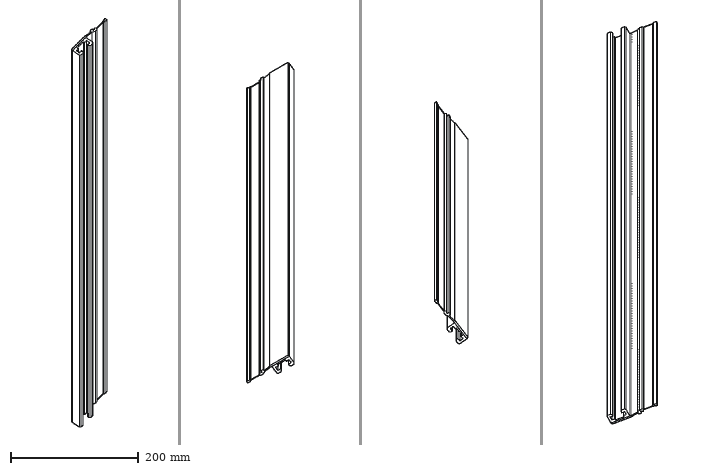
import cadquery as cq

length = 1000.0
overall_width = 19.0
overall_height = 81.0

rail_height = 33.0
backing_thickness = 3.0
rail_wall = 2.5
flange_thickness = 4.0
bead_end = 8.0
lip_start = 14.0
lip_depth = 9.0
corner_cut = 2.0

plate_corner_cut = 2.0
plate_corner_rise = 1.0
plate_top = 34.0
shoulder_x = 0.4
shoulder_y = 36.0
shoulder_depth = 0.5
lean_top_left = 2.5
lean_top_right = 4.5
lean_top = 47.0
knuckle_bottom = 49.0
knuckle_step = 52.0
barb_foot = 0.5
barb_root = 3.5
barb_tip = 2.0
barb_tip_y = 56.0
knuckle_top = 58.0
thin_web_left = 4.5
thin_web_right = 5.5
head_left = 3.0
head_right = 7.0
head_bottom = 74.0
head_taper_top = 79.0
head_taper_bottom = 76.0
neck_left = 4.0


def extrude_outline(points):
    """One solid from a closed XY outline, extruded over the full length."""
    return cq.Workplane("XY").polyline(points).close().extrude(length)


def make_rail():
    inner_wall = backing_thickness + rail_wall
    lower_half = [
        (backing_thickness, 0),
        (overall_width - corner_cut, 0),
        (overall_width, corner_cut),
        (overall_width, lip_depth - corner_cut),
        (overall_width - corner_cut, lip_depth),
        (lip_start, lip_depth),
        (lip_start, flange_thickness),
        (bead_end, flange_thickness),
        (bead_end, lip_depth),
        (inner_wall, lip_depth),
    ]
    upper_half = [(x, rail_height - y) for x, y in reversed(lower_half)]
    return extrude_outline(lower_half + upper_half)


def make_flap():
    right_side = [
        (plate_corner_cut, 0),
        (backing_thickness, 0),
        (backing_thickness, shoulder_y),
        (lean_top_right, lean_top),
        (thin_web_right, knuckle_bottom),
        (head_right, knuckle_step),
        (head_right, barb_tip_y),
        (thin_web_right, knuckle_top),
        (thin_web_right, head_bottom),
        (head_right, head_taper_bottom),
        (head_right, overall_height),
    ]
    left_side = [
        (head_left, overall_height),
        (head_left, head_taper_top),
        (neck_left, head_taper_bottom),
        (neck_left, head_bottom),
        (thin_web_left, head_bottom),
        (thin_web_left, knuckle_top),
        (barb_tip, barb_tip_y),
        (barb_root, knuckle_step),
        (0, knuckle_step),
        (0, knuckle_bottom),
        (barb_foot, lean_top),
        (lean_top_left, lean_top),
        (shoulder_x + shoulder_depth, shoulder_y),
        (shoulder_x, shoulder_y),
        (0, plate_top),
        (0, plate_corner_rise),
    ]
    return extrude_outline(right_side + left_side)


rail = make_rail()
flap = make_flap()

result = cq.Compound.makeCompound([rail.val(), flap.val()])